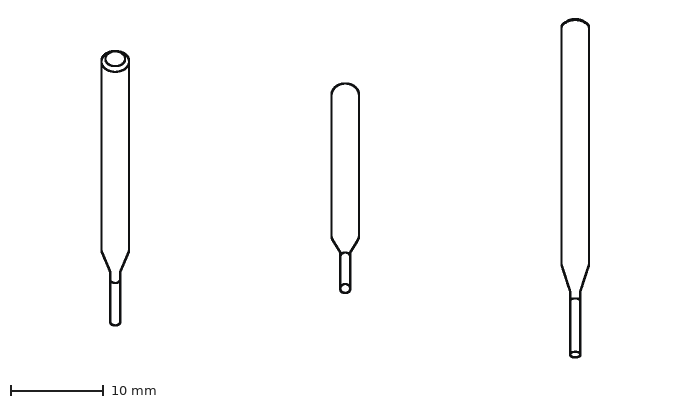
import cadquery as cq
import math

total_length = 43.0
shank_diameter = 3.0
drill_diameter = 1.1

tip_height = 0.2
cutter_top = 7.15
neck_top = 8.3

taper_angle = math.radians(15)
blend_radius = 1.08

end_chamfer = 0.45

shank_radius = shank_diameter / 2
drill_radius = drill_diameter / 2

sharp_corner = neck_top + blend_radius * math.tan(taper_angle / 2)
taper_top = sharp_corner + (shank_radius - drill_radius) / math.tan(taper_angle)


def blend_point(angle):
    """Point on the concave blend where its slope from the axis is the angle."""
    return (
        drill_radius + blend_radius * (1 - math.cos(angle)),
        neck_top + blend_radius * math.sin(angle),
    )


def make_cutter():
    """Cylindrical cutting part with a conical drill point."""
    outline = (
        cq.Workplane("XZ")
        .lineTo(drill_radius, tip_height)
        .lineTo(drill_radius, cutter_top)
        .lineTo(0, cutter_top)
        .close()
    )
    return outline.revolve(360, (0, 0), (0, 1))


def make_shank():
    """Neck of the drill diameter, blended taper and chamfered shank, resting on the cutter."""
    outline = (
        cq.Workplane("XZ")
        .moveTo(0, cutter_top)
        .lineTo(drill_radius, cutter_top)
        .lineTo(drill_radius, neck_top)
        .threePointArc(blend_point(taper_angle / 2), blend_point(taper_angle))
        .lineTo(shank_radius, taper_top)
        .lineTo(shank_radius, total_length - end_chamfer)
        .lineTo(shank_radius - end_chamfer, total_length)
        .lineTo(0, total_length)
        .close()
    )
    return outline.revolve(360, (0, 0), (0, 1))


cutter = make_cutter()
shank = make_shank()

result = cq.Compound.makeCompound([cutter.val(), shank.val()])